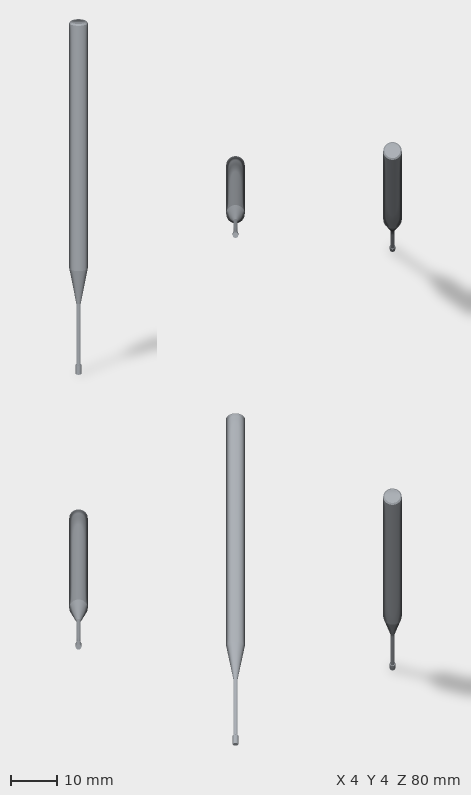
import cadquery as cq

total_length = 80.0
shank_diameter = 4.0
shank_chamfer = 0.3

neck_diameter = 1.0
neck_top = 16.0
cone_top = 24.0

head_diameter = 1.2
head_length = 2.2


def make_holder():
    """Shank, cone and neck, turned as one body that sits on the head."""
    shank_radius = shank_diameter / 2
    neck_radius = neck_diameter / 2
    return (
        cq.Workplane("XZ")
        .moveTo(0, head_length)
        .lineTo(neck_radius, head_length)
        .lineTo(neck_radius, neck_top)
        .lineTo(shank_radius, cone_top)
        .lineTo(shank_radius, total_length - shank_chamfer)
        .lineTo(shank_radius - shank_chamfer, total_length)
        .lineTo(0, total_length)
        .close()
        .revolve(360, (0, 0, 0), (0, 1, 0))
    )


def make_cutting_head():
    """Plain cylinder enclosing the cutting edges."""
    return cq.Workplane("XY").circle(head_diameter / 2).extrude(head_length)


holder = make_holder()
cutting_head = make_cutting_head()

result = cq.Compound.makeCompound([holder.val(), cutting_head.val()])